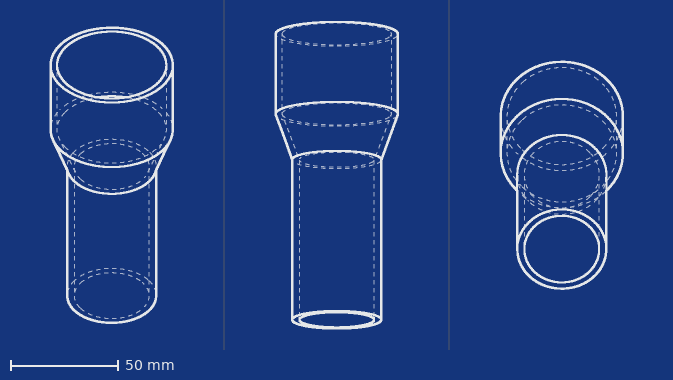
import cadquery as cq

total_length = 136.1
socket_length = 38.1
cone_length = 21.8
socket_outer_diameter = 57.2
socket_bore_diameter = 51.0
spigot_outer_diameter = 41.6
spigot_bore_diameter = 35.0

cone_top = total_length - socket_length
cone_bottom = cone_top - cone_length


def stepped_solid(spigot_diameter, socket_diameter):
    """Solid of revolution about Z with a cone joining its two diameters."""
    spigot_radius = spigot_diameter / 2
    socket_radius = socket_diameter / 2
    return (
        cq.Workplane("XZ")
        .lineTo(spigot_radius, 0)
        .lineTo(spigot_radius, cone_bottom)
        .lineTo(socket_radius, cone_top)
        .lineTo(socket_radius, total_length)
        .lineTo(0, total_length)
        .close()
        .revolve(360, (0, 0, 0), (0, 1, 0))
    )


outer_body = stepped_solid(spigot_outer_diameter, socket_outer_diameter)
bore = stepped_solid(spigot_bore_diameter, socket_bore_diameter)

result = outer_body.cut(bore)